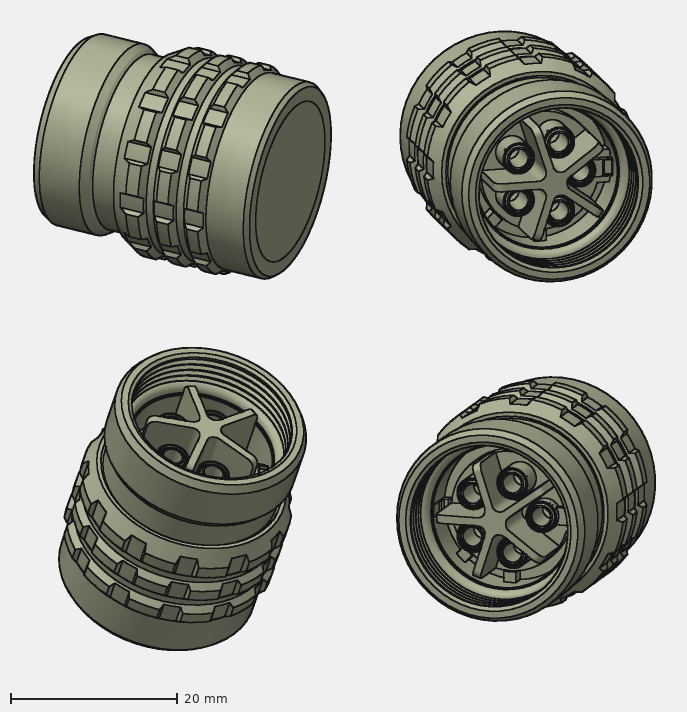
import cadquery as cq
import math

LENGTH = 28.8

FACE_RADIUS = 11.3
COLLAR_RADIUS = 11.87
COLLAR_START = 1.0
COLLAR_END = 6.3
COLLAR_STEP_X = 7.3
COLLAR_STEP_RADIUS = 11.25
NECK_START = 7.63
NECK_RADIUS = 10.9

GRIP_START = 10.77
UNDERCUT_RADIUS = 11.2
UNDERCUT_DEPTH = 0.35
GRIP_EDGE_RADIUS = 11.72
GRIP_RADIUS = 12.18
RING_RADIUS = 13.0
RING_LANDS = ((12.95, 14.57), (17.02, 18.55), (21.02, 22.5))
RING_SLOPE = 0.75
BACK_CHAMFER_START = 28.2
BACK_EDGE_RADIUS = 11.72

NOTCH_COUNT = 12
NOTCH_FLOOR_RADIUS = 12.45
NOTCH_FLOOR_HALF_WIDTH = 1.07
NOTCH_TOP_HALF_WIDTH = 1.5
NOTCH_START = 11.52
NOTCH_END = 23.62
CUT_MARGIN = 0.3

BORE_RADIUS = 9.95
THREAD_DEPTH = 0.5
THREAD_PITCH = 0.98
THREAD_COUNT = 4
FIRST_GROOVE_X = 1.0
GROOVE_MOUTH = 0.84
GROOVE_ROOT = 0.25
MOUTH_CHAMFER = 0.25

RIM_START = 4.44
RIM_ROUND_END = 5.5
LIP_RADIUS = 9.0
RIM_END = 5.75
RIM_STEP_RADIUS = 8.9
CUP_RADIUS = 8.8
CUP_FLOOR = 10.37
DISC_RADIUS = 7.37
DISC_FACE = 8.65

STAR_FRONT = 2.02
ARM_COUNT = 5
ARM_WIDTH = 1.0
ARM_TIP_ROUND = 0.98
ARM_ROOT_ROUND = 0.98

SOCKET_CIRCLE = 4.5
SOCKET_FRONT = 5.18
KEYED_SOCKET_FRONT = 6.9
SOCKET_RADIUS = 1.93
SOCKET_GAP_RADIUS = 1.8
SOCKET_GAP_DEPTH = 0.85
CONTACT_RADIUS = 1.65
CONTACT_EDGE_RADIUS = 1.4
CONTACT_BORE_RADIUS = 1.18
CONTACT_BORE_DEPTH = 4.32
CONTACT_TIP_DEPTH = 0.58

RIB_WIDTH = 1.5
RIB_INNER_RADIUS = 7.5
RIB_ANGLES = (90.0, -90.0, -135.0)
STOP_STEPS = ((RIM_END, 8.73), (8.05, 8.47), (9.22, 7.95))
KEY_LAND_WIDTH = 4.1
KEY_WIDTH = 2.13
KEY_HEIGHT = 0.85
KEY_SLOT_WIDTH = 1.9
KEY_SLOT_STEPS = ((0.3, 7.57), (0.58, 7.8))


def revolve_about_axis(points):
    """Turn a closed (x, radius) outline about the X axis."""
    return cq.Workplane("XY").polyline(points).close().revolve(360, (0, 0, 0), (1, 0, 0))


def cylinder(x_start, x_end, radius):
    return cq.Workplane("YZ", origin=(x_start, 0, 0)).circle(radius).extrude(x_end - x_start)


def radial_block(x_start, x_end, inner, outer, width, angle):
    """A block reaching outward; the angle is counted from -Y towards +Z."""
    block = cq.Workplane("XY").box(x_end - x_start, outer - inner, width)
    block = block.translate(((x_start + x_end) / 2, -(inner + outer) / 2, 0))
    return block.rotate((0, 0, 0), (1, 0, 0), -angle)


def sleeve_blank():
    """Solid turned shape of the sleeve, before the notches and the bore."""
    outline = [
        (0, 0),
        (0, FACE_RADIUS),
        (COLLAR_START, COLLAR_RADIUS),
        (COLLAR_END, COLLAR_RADIUS),
        (COLLAR_STEP_X, COLLAR_STEP_RADIUS),
        (NECK_START, NECK_RADIUS),
        (GRIP_START + UNDERCUT_DEPTH, NECK_RADIUS),
        (GRIP_START + UNDERCUT_DEPTH, UNDERCUT_RADIUS),
        (GRIP_START, UNDERCUT_RADIUS),
        (GRIP_START, GRIP_EDGE_RADIUS),
    ]
    for index, (land_start, land_end) in enumerate(RING_LANDS):
        if index > 0:
            outline.append((land_start - RING_SLOPE, GRIP_RADIUS))
        outline.append((land_start, RING_RADIUS))
        outline.append((land_end, RING_RADIUS))
        outline.append((land_end + RING_SLOPE, GRIP_RADIUS))
    outline += [
        (BACK_CHAMFER_START, GRIP_RADIUS),
        (LENGTH, BACK_EDGE_RADIUS),
        (LENGTH, 0),
    ]
    return revolve_about_axis(outline)


def notch_cutter():
    """Trapezoidal bar along X at the top of the rings, hollowed to leave a round notch floor."""
    slope = (NOTCH_TOP_HALF_WIDTH - NOTCH_FLOOR_HALF_WIDTH) / (RING_RADIUS - NOTCH_FLOOR_RADIUS)
    bottom = NOTCH_FLOOR_RADIUS - CUT_MARGIN
    top = RING_RADIUS + CUT_MARGIN
    bottom_half = NOTCH_FLOOR_HALF_WIDTH - slope * (NOTCH_FLOOR_RADIUS - bottom)
    top_half = NOTCH_TOP_HALF_WIDTH + slope * (top - RING_RADIUS)
    bar = (
        cq.Workplane("YZ", origin=(NOTCH_START, 0, 0))
        .polyline([(-bottom_half, bottom), (bottom_half, bottom), (top_half, top), (-top_half, top)])
        .close()
        .extrude(NOTCH_END - NOTCH_START)
    )
    return bar.cut(cylinder(NOTCH_START, NOTCH_END, NOTCH_FLOOR_RADIUS))


def threaded_bore():
    """The bore with its mouth chamfer and a tapered ring groove for each thread turn."""
    root_radius = BORE_RADIUS + THREAD_DEPTH
    outline = [(0, 0), (0, root_radius), (MOUTH_CHAMFER, BORE_RADIUS)]
    for turn in range(THREAD_COUNT):
        center = FIRST_GROOVE_X + turn * THREAD_PITCH
        outline += [
            (center - GROOVE_MOUTH / 2, BORE_RADIUS),
            (center - GROOVE_ROOT / 2, root_radius),
            (center + GROOVE_ROOT / 2, root_radius),
            (center + GROOVE_MOUTH / 2, BORE_RADIUS),
        ]
    outline += [(LENGTH, BORE_RADIUS), (LENGTH, 0)]
    return revolve_about_axis(outline)


def make_sleeve():
    """Coupling sleeve with its toothed grip and threaded bore."""
    sleeve = sleeve_blank()
    cutter = notch_cutter()
    for index in range(NOTCH_COUNT):
        sleeve = sleeve.cut(cutter.rotate((0, 0, 0), (1, 0, 0), index * 360 / NOTCH_COUNT))
    return sleeve.cut(threaded_bore())


def insert_cup():
    """Cup with a rounded rim, a ring-shaped floor and a raised disc in the middle."""
    inset = 1 - math.sqrt(0.5)
    arc_middle = (
        RIM_START + (RIM_ROUND_END - RIM_START) * inset,
        LIP_RADIUS + (BORE_RADIUS - LIP_RADIUS) * inset,
    )
    return (
        cq.Workplane("XY")
        .moveTo(DISC_FACE, 0)
        .lineTo(DISC_FACE, DISC_RADIUS)
        .lineTo(CUP_FLOOR, DISC_RADIUS)
        .lineTo(CUP_FLOOR, CUP_RADIUS)
        .lineTo(RIM_END, CUP_RADIUS)
        .lineTo(RIM_END, RIM_STEP_RADIUS)
        .lineTo(RIM_ROUND_END, RIM_STEP_RADIUS)
        .lineTo(RIM_ROUND_END, LIP_RADIUS)
        .threePointArc(arc_middle, (RIM_START, BORE_RADIUS))
        .lineTo(LENGTH, BORE_RADIUS)
        .lineTo(LENGTH, 0)
        .close()
        .revolve(360, (0, 0, 0), (1, 0, 0))
    )


def make_star():
    """Five arms with filleted roots and rounded front tips."""
    arm = (
        cq.Workplane("XY", origin=(0, 0, -ARM_WIDTH / 2))
        .moveTo(STAR_FRONT, 0)
        .lineTo(STAR_FRONT, DISC_RADIUS - ARM_TIP_ROUND)
        .radiusArc((STAR_FRONT + ARM_TIP_ROUND, DISC_RADIUS), ARM_TIP_ROUND)
        .lineTo(DISC_FACE, DISC_RADIUS)
        .lineTo(DISC_FACE, 0)
        .close()
        .extrude(ARM_WIDTH)
    )
    star = arm
    for index in range(1, ARM_COUNT):
        star = star.union(arm.rotate((0, 0, 0), (1, 0, 0), index * 360 / ARM_COUNT))
    reach = ARM_WIDTH
    roots = cq.selectors.BoxSelector((STAR_FRONT, -reach, -reach), (DISC_FACE, reach, reach))
    return star.edges("|X").edges(roots).fillet(ARM_ROOT_ROUND)


def socket_center(index):
    """Place of a socket between two arms; index 0 is the one next to the key on the -Y side."""
    angle = math.radians(180 + index * 360 / ARM_COUNT)
    return SOCKET_CIRCLE * math.cos(angle), SOCKET_CIRCLE * math.sin(angle)


def socket_post(front):
    """Round post from the cup floor to the socket's front face."""
    return cylinder(front, CUP_FLOOR, SOCKET_RADIUS)


def socket_hollow(front):
    """Blind contact bore, contact edge chamfer and the ring gap around the contact."""
    chamfer = CONTACT_RADIUS - CONTACT_EDGE_RADIUS
    bore = revolve_about_axis([
        (front, 0),
        (front, CONTACT_BORE_RADIUS),
        (front + CONTACT_BORE_DEPTH, CONTACT_BORE_RADIUS),
        (front + CONTACT_BORE_DEPTH + CONTACT_TIP_DEPTH, 0),
    ])
    gap = revolve_about_axis([
        (front, CONTACT_EDGE_RADIUS),
        (front + chamfer, CONTACT_RADIUS),
        (front + SOCKET_GAP_DEPTH, CONTACT_RADIUS),
        (front + SOCKET_GAP_DEPTH, SOCKET_GAP_RADIUS),
        (front, SOCKET_GAP_RADIUS),
    ])
    return bore.union(gap)


def make_insert():
    """Contact insert that fills the sleeve's bore behind the thread."""
    insert = insert_cup().union(make_star())
    for angle in RIB_ANGLES:
        insert = insert.union(
            radial_block(DISC_FACE, CUP_FLOOR, RIB_INNER_RADIUS, CUP_RADIUS, RIB_WIDTH, angle))
    for front, inner in STOP_STEPS:
        insert = insert.union(radial_block(front, CUP_FLOOR, inner, CUP_RADIUS, RIB_WIDTH, 180))
    land = radial_block(DISC_FACE, CUP_FLOOR, SOCKET_CIRCLE, CUP_RADIUS, KEY_LAND_WIDTH, 0)
    key_front = DISC_FACE - KEY_HEIGHT
    key = radial_block(key_front, DISC_FACE, SOCKET_CIRCLE, CUP_RADIUS, KEY_WIDTH, 0)
    insert = insert.union(land).union(key)
    for depth, inner in KEY_SLOT_STEPS:
        slot = radial_block(key_front, key_front + depth, inner, CUP_RADIUS, KEY_SLOT_WIDTH, 0)
        insert = insert.cut(slot)
    for index in range(ARM_COUNT):
        y, z = socket_center(index)
        front = KEYED_SOCKET_FRONT if index == 0 else SOCKET_FRONT
        insert = insert.union(socket_post(front).translate((0, y, z)))
        insert = insert.cut(socket_hollow(front).translate((0, y, z)))
    return insert


sleeve = make_sleeve()
insert = make_insert()

result = cq.Compound.makeCompound([sleeve.val(), insert.val()])